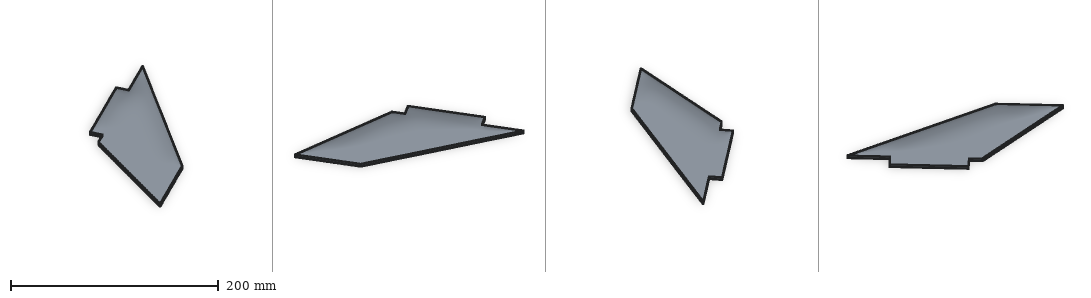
import cadquery as cq

thickness = 3.17
total_width = 101.67
total_length = 204.65

tab_depth = 12.7
tab_length = 76.2
tab_front_offset = 41.1
root_chord = 130.0
tip_chord = root_chord / 2

tab_x = 0
root_x = tab_x + tab_depth
tip_x = tab_x + total_width

tip_rear_y = 0
tip_front_y = tip_rear_y + tip_chord
root_front_y = tip_rear_y + total_length
root_rear_y = root_front_y - root_chord
tab_front_y = root_front_y - tab_front_offset
tab_rear_y = tab_front_y - tab_length


def make_fin():
    """Extrude the fin outline, tab included, to the sheet thickness."""
    outline = [
        (root_x, root_front_y),
        (tip_x, tip_front_y),
        (tip_x, tip_rear_y),
        (root_x, root_rear_y),
        (root_x, tab_rear_y),
        (tab_x, tab_rear_y),
        (tab_x, tab_front_y),
        (root_x, tab_front_y),
    ]
    return cq.Workplane("XY").polyline(outline).close().extrude(thickness)


result = make_fin()